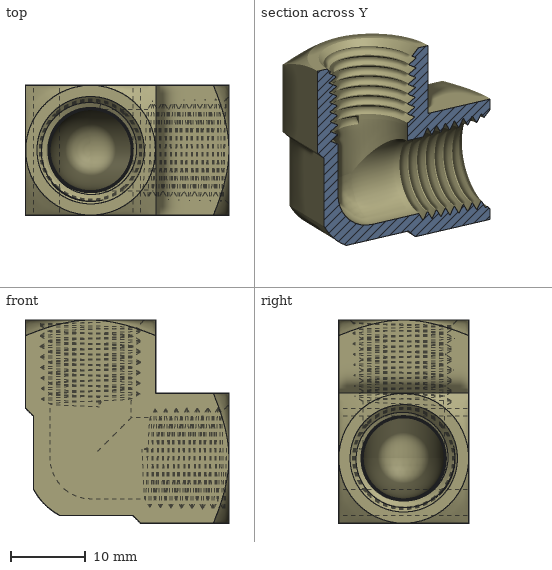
import cadquery as cq
import math

body_width = 17.46
overall_length = 27.27
half_width = body_width / 2
port_reach = overall_length - half_width

relief_depth = 1.05
relief_start = 6.7
relief_end = relief_start - relief_depth
relief_side = half_width - relief_depth
heel_radius = half_width
heel_start = math.sqrt(heel_radius**2 - relief_side**2)
heel_middle = heel_radius * math.cos(math.radians(45))

trim_angle = 30
trim_inner_radius = 8.7
trim_outer_radius = 13.0

thread_pitch = 25.4 / 18
thread_taper = 1 / 32
thread_depth = 11.0
flank_angle = 30
crest_radius = 5.78
root_radius = 6.89
crossing_radius = crest_radius - thread_depth * thread_taper
mouth_radius = 7.2
runout_angle = 285
groove_overlap = 0.05
lead_in = 2 * thread_pitch


def make_body():
    """Elbow block: extruded outline with reliefs and a rounded heel."""
    return (
        cq.Workplane("XZ")
        .moveTo(-half_width, port_reach)
        .lineTo(half_width, port_reach)
        .lineTo(half_width, half_width)
        .lineTo(port_reach, half_width)
        .lineTo(port_reach, -half_width)
        .lineTo(relief_start, -half_width)
        .lineTo(relief_end, -relief_side)
        .lineTo(-heel_start, -relief_side)
        .threePointArc((-heel_middle, -heel_middle), (-relief_side, -heel_start))
        .lineTo(-relief_side, relief_end)
        .lineTo(-half_width, relief_start)
        .close()
        .extrude(half_width, both=True)
    )


def revolve_about_z(points):
    """Revolve a closed (radius, height) outline about the Z axis."""
    return cq.Workplane("YZ").polyline(points).close().revolve(360, (0, 0), (0, 1))


def make_corner_trim():
    """Ring whose conical underside bevels the corners of the upper port."""
    drop = (trim_outer_radius - trim_inner_radius) * math.tan(math.radians(trim_angle))
    return revolve_about_z([
        (trim_inner_radius, port_reach),
        (trim_outer_radius, port_reach),
        (trim_outer_radius, port_reach - drop),
    ])


def make_bore():
    """Countersunk, tapered bore running down to the crossing at the origin."""
    sink_depth = (mouth_radius - crest_radius) / (1 - thread_taper)
    return revolve_about_z([
        (0, 0),
        (crossing_radius, 0),
        (crossing_radius, port_reach - thread_depth),
        (mouth_radius - sink_depth, port_reach - sink_depth),
        (mouth_radius, port_reach),
        (0, port_reach),
    ])


def make_thread_groove():
    """Right-handed tapered V groove, started outside the port face."""
    bottom = port_reach - thread_depth
    taper_angle = math.degrees(math.atan(thread_taper))
    bottom_root = root_radius - thread_depth * thread_taper
    mouth_edge = crossing_radius - groove_overlap
    half_opening = (bottom_root - mouth_edge) * math.tan(math.radians(flank_angle))

    def make_edge(radius, offset):
        """Tapered helix traced by one corner of the V."""
        start = cq.Vector(0, 0, bottom + offset)
        return cq.Wire.makeHelix(
            thread_pitch, thread_depth + lead_in, radius, start, cq.Vector(0, 0, 1), taper_angle
        )

    edges = [
        make_edge(bottom_root, 0),
        make_edge(mouth_edge, half_opening),
        make_edge(mouth_edge, -half_opening),
    ]
    sides = [cq.Face.makeRuledSurface(edges[i - 1], edges[i]) for i in range(len(edges))]
    ends = []
    for fraction in (0, 1):
        corners = [edge.positionAt(fraction) for edge in edges]
        ends.append(cq.Face.makeFromWires(cq.Wire.makePolygon(corners, close=True)))
    groove = cq.Workplane(cq.Solid.makeSolid(cq.Shell.makeShell(sides + ends)))

    runout_rise = thread_depth - (mouth_radius - root_radius)
    start_angle = runout_angle - 360 * runout_rise / thread_pitch
    return groove.rotate((0, 0, 0), (0, 0, 1), start_angle)


def to_side_port(shape):
    """Half turn about the X = Z diagonal, carrying upper port features to the +X port."""
    return shape.rotate((0, 0, 0), (1, 0, 1), 180)


result = make_body()
for make_feature in (make_corner_trim, make_thread_groove, make_bore):
    feature = make_feature()
    result = result.cut(feature).cut(to_side_port(feature))
result = result.cut(cq.Workplane("XY").sphere(crossing_radius))